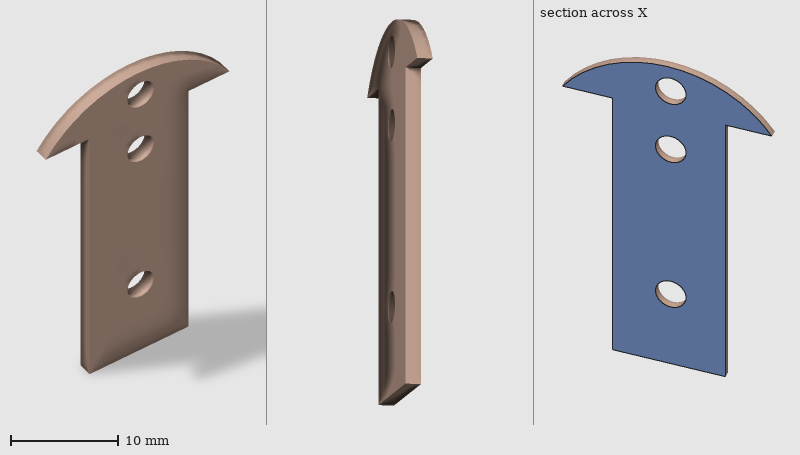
import cadquery as cq

thickness = 1.5
total_height = 35.38
head_width = 21.0

stem_width = 11.32
stem_height = 30.0
stem_offset = 0.18

hole_diameter = 3.0
hole_offset = 0.35
hole_heights = (8.3, 25.58, 32.5)

stem_left = stem_offset - stem_width / 2
stem_right = stem_offset + stem_width / 2

plate = (
    cq.Workplane("YZ")
    .moveTo(stem_left, 0)
    .lineTo(stem_right, 0)
    .lineTo(stem_right, stem_height)
    .lineTo(head_width / 2, stem_height)
    .threePointArc((0, total_height), (-head_width / 2, stem_height))
    .lineTo(stem_left, stem_height)
    .close()
    .extrude(thickness)
)

holes = (
    cq.Workplane("YZ")
    .pushPoints([(hole_offset, height) for height in hole_heights])
    .circle(hole_diameter / 2)
    .extrude(thickness)
)

result = plate.cut(holes)